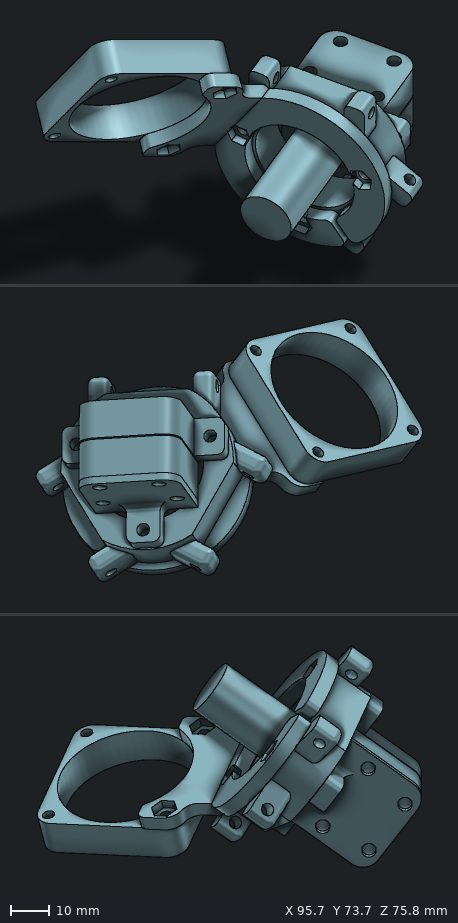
import cadquery as cq
import math


hub_radius = 23.0
hub_bore_radius = 15.0
hub_depth = 12.0
flat_count = 3
flat_pitch = 360 / flat_count
flat_distance = 20.2
flat_half_width = math.sqrt(hub_radius**2 - flat_distance**2)
lug_width = 6.0
lug_depth = 7.95
lug_root = 12.5
lug_tip = 26.6
lug_round = 2.0
lug_hole_diameter = 3.3
lug_hole_radius = 22.8

screw_hole_diameter = 3.4
side_screw_x = 17.8
side_screw_z = 5.4
bottom_screw_z = -19.1
screw_points = [(side_screw_x, side_screw_z), (-side_screw_x, side_screw_z), (0, bottom_screw_z)]
nut_turns = [25, -7, 0]

nut_corner_radius = 3.5
nut_floor_corner_radius = 3.3
nut_depth = 2.3
nut_flat_inset = (nut_corner_radius - nut_floor_corner_radius) * math.cos(math.pi / 6)
nut_taper = math.degrees(math.atan(nut_flat_inset / nut_depth))
ear_nut_turn = 30

sheet_thickness = 4.0
disc_radius = 25.0
disc_bore_radius = 16.0
slot_width = 2.0
slot_angle = -54
slot_round = 2.0
bracket_angle = 150
fold_angle = 45
fold_distance = 20.8
neck_half_width = math.sqrt(disc_radius**2 - fold_distance**2)

fan_side = 40.0
fan_thickness = 10.0
fan_corner_radius = 5.0
fan_bore_radius = 18.5
fan_hole_half_pitch = 16.6
fan_hole_diameter = 3.2
fan_center = 28.9

ear_round = 5.0
ear_round_center = (15.5, 12.1)
ear_side = ear_round_center[0] + ear_round
ear_end = 18.9
ear_end_round = 2.0
root_round = 4.5

clamp_width = 27.1
clamp_half_height = 10.3
clamp_depth = 26.0
clamp_gap = 0.4
clamp_corner_radius = 5.0
flange_width = 43.3
flange_depth = 5.0
flange_round = 2.0
clamp_hole_diameter = 3.7
back_holes_x = 7.9
back_holes_inset = 3.5
front_holes_x = 9.9
front_holes_inset = 17.05
plate_thickness = 2.0
tongue_width = 9.0
tongue_bottom = -22.5
tongue_round = 2.0

shaft_radius = 7.5
shaft_overhang = 23.2
socket_depth = 20.0
socket_chamfer = 0.5

clamp_front = hub_depth
clamp_back = clamp_front + clamp_depth
large = 191.6


def along_y(radius, y_from, y_to):
    """Cylinder on the main axis."""
    return cq.Workplane("XZ", origin=(0, y_from, 0)).circle(radius).extrude(y_from - y_to)


def turned(shape, angle):
    """Turn a shape about the main axis, positive from +X towards +Z."""
    return shape.rotate((0, 0, 0), (0, 1, 0), -angle)


def block(x_from, x_to, y_from, y_to, z_from, z_to):
    """Box between two corners."""
    size = (x_to - x_from, y_to - y_from, z_to - z_from)
    return cq.Workplane("XY", origin=(x_from, y_from, z_from)).box(*size, centered=False)


def screw_holes():
    """Drills for the three screws, long enough for every part they join."""
    plane = cq.Workplane("XZ", origin=(0, -large / 2, 0))
    return plane.pushPoints(screw_points).circle(screw_hole_diameter / 2).extrude(-large)


def nut_pocket(plane, turn):
    """Tapered hexagon sunk from the origin of a plane, against its normal."""
    hexagon = cq.Workplane(plane).transformed(rotate=(0, 0, turn)).polygon(6, 2 * nut_corner_radius)
    return hexagon.extrude(-nut_depth, taper=nut_taper)


def make_lug():
    """Drilled lug standing beside the right end of the top flat."""
    lug_right = flat_half_width + lug_width
    lug = block(flat_half_width, lug_right, 0, lug_depth, lug_root, lug_tip)
    lug = lug.edges("|Y and >Z").fillet(lug_round)
    lug = lug.faces(">Y").edges().fillet(lug_round)
    hole_plane = cq.Workplane("YZ").center(lug_depth / 2, lug_hole_radius)
    return lug.cut(hole_plane.circle(lug_hole_diameter / 2).extrude(large))


def make_hub():
    """Ring with flats and lugs, bored and drilled."""
    hub = along_y(hub_radius, 0, hub_depth)
    flat_cutter = block(-hub_radius, hub_radius, 0, hub_depth, flat_distance, 2 * hub_radius)
    for index in range(flat_count):
        hub = hub.cut(turned(flat_cutter, index * flat_pitch))
    right_lug = make_lug()
    left_lug = right_lug.mirror("YZ")
    for index in range(flat_count):
        hub = hub.union(turned(right_lug, index * flat_pitch))
        hub = hub.union(turned(left_lug, index * flat_pitch))
    hub = hub.cut(along_y(hub_bore_radius, 0, hub_depth))
    return hub.cut(screw_holes())


def fold_plane(tilt):
    """Plane on the front fold line: X along the fold, Y away from the axis, sloping to -Y by the tilt."""
    around = math.radians(bracket_angle)
    lean = math.radians(tilt)
    out_x = math.cos(around)
    out_z = math.sin(around)
    origin = (fold_distance * out_x, -sheet_thickness, fold_distance * out_z)
    normal = (-out_x * math.sin(lean), -math.cos(lean), -out_z * math.sin(lean))
    return cq.Plane(origin=origin, xDir=(out_z, 0, -out_x), normal=normal)


bracket_plane = fold_plane(fold_angle)


def folded(flat_shape):
    """Move a shape modelled flat (X along the fold, Y outward, Z to the front) onto the bracket."""
    return cq.Workplane(flat_shape.val().moved(bracket_plane.location))


def beyond_fold():
    """Everything in front of the seat that lies outward of the fold line."""
    seat = cq.Workplane(fold_plane(0)).workplane(offset=-sheet_thickness)
    return seat.center(0, large / 2).rect(large, large).extrude(large)


def make_ring():
    """Slotted disc, cut off at the fold line."""
    ring = along_y(disc_radius, -sheet_thickness, 0).cut(along_y(disc_bore_radius, -sheet_thickness, 0))
    ring = ring.cut(block(0, large, -sheet_thickness, 0, -slot_width / 2, slot_width / 2))
    ring = ring.edges("|Y").fillet(slot_round)
    return turned(ring, slot_angle).cut(beyond_fold())


def on_circle(center, radius, angle):
    """Point of a circle at an angle in degrees."""
    turn = math.radians(angle)
    return (center[0] + radius * math.cos(turn), center[1] + radius * math.sin(turn))


def make_bracket_half():
    """Flat half of the bracket with one ear; its neck runs past the fold and is trimmed later."""
    reach = ear_round + root_round
    root_x = neck_half_width + root_round
    blend_angle = -math.degrees(math.acos((root_x - ear_round_center[0]) / reach))
    root_center = on_circle(ear_round_center, reach, blend_angle)
    corner_center = (ear_side - ear_end_round, ear_end - ear_end_round)
    return (
        cq.Workplane("XY")
        .moveTo(0, -sheet_thickness)
        .lineTo(neck_half_width, -sheet_thickness)
        .lineTo(neck_half_width, root_center[1])
        .threePointArc(
            on_circle(root_center, root_round, 180 + blend_angle / 2),
            on_circle(root_center, root_round, 180 + blend_angle),
        )
        .threePointArc(
            on_circle(ear_round_center, ear_round, blend_angle / 2),
            on_circle(ear_round_center, ear_round, 0),
        )
        .lineTo(ear_side, corner_center[1])
        .threePointArc(
            on_circle(corner_center, ear_end_round, 45),
            on_circle(corner_center, ear_end_round, 90),
        )
        .lineTo(0, ear_end)
        .close()
        .extrude(-sheet_thickness)
    )


def make_bracket():
    """Bracket with both ears, drilled and pocketed for the fan screws, folded into place."""
    bore = cq.Workplane("XY").center(0, fan_center).circle(fan_bore_radius).extrude(-sheet_thickness)
    half = make_bracket_half().cut(bore)
    bore_end_x = math.sqrt(fan_bore_radius**2 - (fan_center - ear_end) ** 2)
    inner_corner = cq.selectors.NearestToPointSelector((bore_end_x, ear_end, -sheet_thickness / 2))
    half = half.edges("|Z").edges(inner_corner).fillet(ear_end_round)
    bracket = half.union(half.mirror("YZ"))
    hole_y = fan_center - fan_hole_half_pitch
    for hole_x in (-fan_hole_half_pitch, fan_hole_half_pitch):
        hole = cq.Workplane("XY").center(hole_x, hole_y).circle(fan_hole_diameter / 2)
        bracket = bracket.cut(hole.extrude(-sheet_thickness))
        bracket = bracket.cut(nut_pocket(cq.Plane(origin=(hole_x, hole_y, 0)), ear_nut_turn))
    return folded(bracket).intersect(beyond_fold())


def make_disc():
    """Disc and bracket in one piece, drilled and pocketed for the screws."""
    disc = make_ring().union(make_bracket()).cut(screw_holes())
    for (x, z), turn in zip(screw_points, nut_turns):
        pocket_plane = cq.Plane(origin=(x, -sheet_thickness, z), xDir=(1, 0, 0), normal=(0, -1, 0))
        disc = disc.cut(nut_pocket(pocket_plane, turn))
    return disc


def make_fan():
    """Square frame lying against the back of the bracket."""
    frame = cq.Workplane("XY", origin=(0, fan_center, -sheet_thickness))
    fan = frame.rect(fan_side, fan_side).extrude(-fan_thickness)
    fan = fan.edges("|Z").fillet(fan_corner_radius)
    fan = fan.cut(frame.circle(fan_bore_radius).extrude(-fan_thickness))
    holes = frame.rect(2 * fan_hole_half_pitch, 2 * fan_hole_half_pitch, forConstruction=True).vertices()
    return folded(fan.cut(holes.circle(fan_hole_diameter / 2).extrude(-fan_thickness)))


def clamp_block(z_from, z_to):
    """Block with rounded back corners, as wide and deep as the clamp."""
    half_width = clamp_width / 2
    body = block(-half_width, half_width, clamp_front, clamp_back, z_from, z_to)
    return body.edges("|Z and >Y").fillet(clamp_corner_radius)


def clamp_holes():
    """Vertical drills through the clamp stack."""
    back_y = clamp_back - back_holes_inset
    front_y = clamp_back - front_holes_inset
    points = []
    for side in (-1, 1):
        points.append((side * back_holes_x, back_y))
        points.append((side * front_holes_x, front_y))
    return cq.Workplane("XY").pushPoints(points).circle(clamp_hole_diameter / 2).extrude(large, both=True)


def shaft_socket():
    """Blind socket for the shaft with a chamfered mouth."""
    mouth_radius = shaft_radius + socket_chamfer
    socket_back = clamp_front + socket_depth
    profile = [
        (0, clamp_front),
        (mouth_radius, clamp_front),
        (shaft_radius, clamp_front + socket_chamfer),
        (shaft_radius, socket_back),
        (0, socket_back),
    ]
    return cq.Workplane("XY").polyline(profile).close().revolve(360, (0, 0, 0), (0, 1, 0))


def make_upper_clamp():
    """Half of the clamp with a flange that is screwed to the hub."""
    half_flange = flange_width / 2
    bottom = clamp_gap / 2
    flange = block(-half_flange, half_flange, clamp_front, clamp_front + flange_depth, bottom, clamp_half_height)
    flange = flange.edges("|Y").fillet(flange_round)
    clamp = clamp_block(bottom, clamp_half_height).union(flange)
    return clamp.cut(shaft_socket()).cut(clamp_holes()).cut(screw_holes())


def make_lower_clamp():
    """Plain half of the clamp."""
    clamp = clamp_block(-clamp_half_height, -clamp_gap / 2)
    return clamp.cut(shaft_socket()).cut(clamp_holes())


def make_angle_plate():
    """Plate under the clamp with a tongue that hangs down behind the hub."""
    underside = -clamp_half_height - plate_thickness
    half_tongue = tongue_width / 2
    tongue_back = clamp_front + flange_depth
    tongue = block(-half_tongue, half_tongue, clamp_front, tongue_back, tongue_bottom, -clamp_half_height)
    tongue = tongue.edges("|Y and <Z").fillet(tongue_round)
    plate = clamp_block(underside, -clamp_half_height).union(tongue)
    margin = plate_thickness / 2
    root = cq.selectors.BoxSelector(
        (-half_tongue - margin, clamp_front + margin, underside - margin),
        (half_tongue + margin, tongue_back + margin, underside + margin),
    )
    plate = plate.edges(root).fillet(tongue_round)
    return plate.cut(clamp_holes()).cut(screw_holes())


def make_shaft():
    """Plain round shaft seated on the floor of the socket."""
    return along_y(shaft_radius, -shaft_overhang, clamp_front + socket_depth)


hub = make_hub()
disc = make_disc()
fan = make_fan()
upper_clamp = make_upper_clamp()
lower_clamp = make_lower_clamp()
angle_plate = make_angle_plate()
shaft = make_shaft()

bodies = [hub, disc, fan, upper_clamp, lower_clamp, angle_plate, shaft]
result = cq.Compound.makeCompound([body.val() for body in bodies])